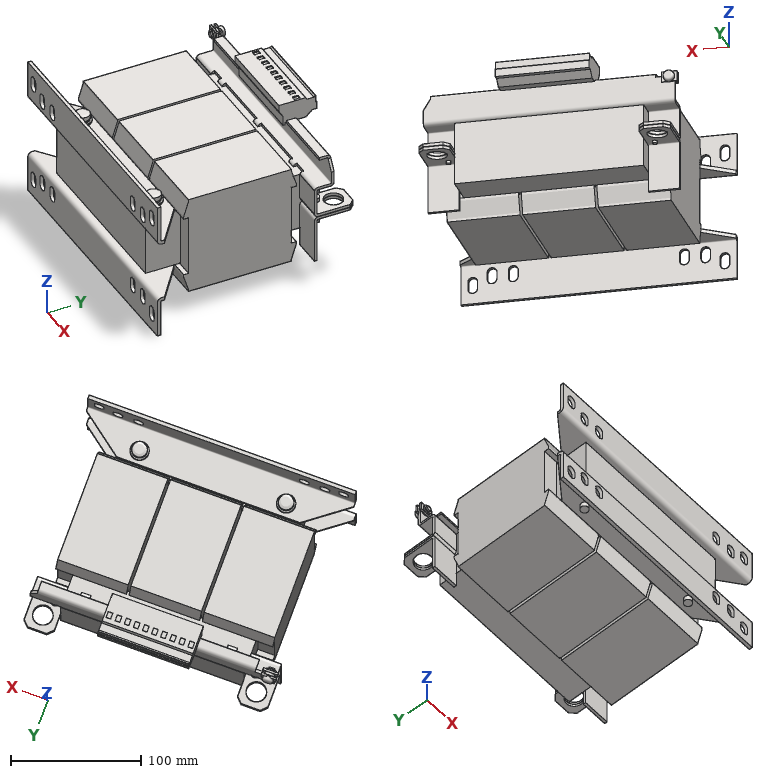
import cadquery as cq


LEG_WIDTH = 30.0
LEG_PITCH = 2 * LEG_WIDTH
LEG_CENTRES = [-LEG_PITCH, 0, LEG_PITCH]
CORE_WIDTH = 5 * LEG_WIDTH
CORE_FRONT = 7.5
CORE_DEPTH = CORE_WIDTH
CORE_BACK = CORE_FRONT + CORE_DEPTH
CORE_HEIGHT = 50.4
CORE_TOP = CORE_HEIGHT / 2

COIL_GAP = 2.2
COIL_WIDTH = LEG_PITCH - COIL_GAP
COIL_FRONT = CORE_FRONT + LEG_WIDTH
COIL_BACK = 126.4
COIL_TOP = 43.1
LIP_TOP = 41.5
LIP_REACH = 4.2
LIP_BOTTOM = 26.0
LIP_EDGE_TOP = 28.5

MOUNT_LENGTH = 219.0
MOUNT_THICKNESS = 3.0
MOUNT_HALF_HEIGHT = 60.2
MOUNT_BACK = 32.2
MOUNT_TAPER_START = 6.1
MOUNT_BEND_RADIUS = 4.0
SLOT_WIDTH = 7.7
SLOT_LENGTH = 13.1
OUTER_SLOT = (100.0, 45.0)
INNER_SLOTS = [(84.8, 38.3), (67.9, 38.3)]

BOLT_Y = 22.1
BOLT_DIAMETER = 7.0
BOLT_END = -33.0
WASHER_STACK = [(13.8, 1.0), (15.0, 1.0), (11.5, 1.5)]
BOLT_HEAD_DIAMETER = 12.3
BOLT_HEAD_HEIGHT = 4.5
BOLT_CROWN_DIAMETER = 7.9
BOLT_CROWN_HEIGHT = 0.7

SHEET = 2.5
SHEET_BEND_RADIUS = 3.3
REAR_LENGTH = 199.7
REAR_FRONT = 140.5
LOWER_END = -41.0
EYE_GAP = 0.5
EYE_BACK = 176.0
EYE_WIDTH = (REAR_LENGTH - CORE_WIDTH) / 2
EYE_CENTRE = (REAR_LENGTH + CORE_WIDTH) / 4
EYE_CHAMFER = 4.5
EYE_HOLE_DIAMETER = 15.8
EYE_HOLE_Y = 163.4
BENT_TAB_WIDTH = 7.7

TAB_SCREW_X = 82.0
TAB_SCREW_Y = 149.5
TAB_SCREW_HEAD_DIAMETER = 8.3
TAB_SCREW_HEAD_HEIGHT = 3.3
TAB_SCREW_DIAMETER = 3.7
TAB_SCREW_END = -4.5

RAIL_BACK = 157.7
RAIL_TOP = 50.5
RAIL_FLANGE_FRONT = 147.8
RAIL_FLANGE_LEFT = -84.3
RAIL_FLANGE_RIGHT = 94.2
RAIL_TAPER_END = 38.0

EARTH_X = -95.5
EARTH_Z = 46.5
EARTH_HEAD = (8.8, RAIL_BACK, 162.0)
EARTH_NUT = (7.9, 151.5, RAIL_BACK)
EARTH_SHANK = (4.8, 150.2, RAIL_BACK)
EARTH_HEAD_ROUNDING = 1.8
EARTH_WASHER_WIDTH = 12.3
EARTH_WASHER_HEIGHT = 8.3
EARTH_WASHER_THICKNESS = 1.8
EARTH_WASHER_FRONTS = [152.9, 156.8]

POLE_PITCH = 7.5
POLES_PER_BLOCK = [3, 3, 2, 2]
TERMINAL_LEFT = -36.0
TERMINAL_TOP = 66.8
TERMINAL_PROFILE = [
    (141.3, TERMINAL_TOP), (141.3, 60.5), (144.8, 55.6), (144.8, 47.0), (146.7, 47.0), (146.7, 48.6),
    (164.5, 48.6), (170.2, 53.7), (174.0, 53.7), (174.0, 60.0), (173.2, 60.0), (173.2, 66.0),
    (172.8, 66.0), (171.5, 65.0), (165.5, 65.0), (164.2, TERMINAL_TOP),
]
POCKET_WIDTH = 3.7
POCKET_FRONT = 155.7
POCKET_BACK = 160.5
POCKET_DEPTH = 1.0


def block(x_range, y_range, z_range):
    """Box between the given limits."""
    size = [high - low for low, high in (x_range, y_range, z_range)]
    return cq.Workplane("XY").box(*size, centered=False).translate((x_range[0], y_range[0], z_range[0]))


def centred(middle, width):
    """Limits of a stretch of the given width."""
    return (middle - width / 2, middle + width / 2)


def extrude_along_x(profile, x_range):
    """Solid from a closed (Y, Z) outline."""
    start, end = x_range
    return cq.Workplane("YZ").workplane(offset=start).polyline(profile).close().extrude(end - start)


def disc(x, y, z, diameter, height):
    """Upright cylinder standing at the height z."""
    return cq.Workplane("XY").circle(diameter / 2).extrude(height).translate((x, y, z))


def rod_along_y(x, z, diameter, start, end):
    """Cylinder lying along Y between the two given places."""
    return cq.Workplane("XZ", origin=(x, start, z)).circle(diameter / 2).extrude(start - end)


def bent_angle(x_range, corner, ends, thickness, radius):
    """L-shaped sheet with a rounded bend; corner and ends are (Y, Z) of its outer faces."""
    (y, z), (y_end, z_end) = corner, ends
    y_inner = y + (thickness if y_end > y else -thickness)
    z_inner = z + (thickness if z_end > z else -thickness)
    outline = [(y, z), (y_end, z), (y_end, z_inner), (y_inner, z_inner), (y_inner, z_end), (y, z_end)]
    sheet = extrude_along_x(outline, x_range)
    middle = sum(x_range) / 2
    outer_edge = cq.selectors.NearestToPointSelector((middle, y, z))
    inner_edge = cq.selectors.NearestToPointSelector((middle, y_inner, z_inner))
    return sheet.edges(outer_edge).fillet(radius).edges(inner_edge).fillet(radius - thickness)


def make_core():
    core = block(centred(0, CORE_WIDTH), (CORE_FRONT, CORE_BACK), centred(0, CORE_HEIGHT))
    for x in (-LEG_PITCH / 2, LEG_PITCH / 2):
        window = block(
            centred(x, LEG_PITCH - LEG_WIDTH),
            (CORE_FRONT + LEG_WIDTH, CORE_BACK - LEG_WIDTH),
            centred(0, CORE_HEIGHT),
        )
        core = core.cut(window)
    return core


def make_coil(x):
    upper_half = [
        (COIL_FRONT, LIP_BOTTOM), (COIL_FRONT - LIP_REACH, LIP_BOTTOM),
        (COIL_FRONT - LIP_REACH, LIP_EDGE_TOP),
        (COIL_FRONT, LIP_TOP), (COIL_FRONT, COIL_TOP), (COIL_BACK, COIL_TOP), (COIL_BACK, LIP_TOP),
        (COIL_BACK + LIP_REACH, LIP_EDGE_TOP), (COIL_BACK + LIP_REACH, LIP_BOTTOM), (COIL_BACK, LIP_BOTTOM),
    ]
    lower_half = [(y, -z) for y, z in reversed(upper_half)]
    return extrude_along_x(upper_half + lower_half, centred(x, COIL_WIDTH))


def make_mounting_angle():
    """Upper angle: slotted flange on the mounting face and a tapered plate on the core."""
    angle = bent_angle(
        centred(0, MOUNT_LENGTH),
        (0, CORE_TOP),
        (MOUNT_BACK, MOUNT_HALF_HEIGHT),
        MOUNT_THICKNESS,
        MOUNT_BEND_RADIUS,
    )
    for side in (-1, 1):
        corner_cut = (
            cq.Workplane("XY")
            .polyline([
                (side * MOUNT_LENGTH / 2, MOUNT_TAPER_START),
                (side * MOUNT_LENGTH / 2, MOUNT_BACK),
                (side * CORE_WIDTH / 2, MOUNT_BACK),
            ])
            .close()
            .extrude(MOUNT_HALF_HEIGHT)
        )
        angle = angle.cut(corner_cut)
    slot_centres = [(side * x, z) for side in (-1, 1) for x, z in [OUTER_SLOT] + INNER_SLOTS]
    slots = (
        cq.Workplane("XZ")
        .pushPoints(slot_centres)
        .slot2D(SLOT_LENGTH, SLOT_WIDTH, 90)
        .extrude(-MOUNT_THICKNESS)
    )
    return angle.cut(slots)


def make_clamping_bolt(x):
    bolt = disc(x, BOLT_Y, BOLT_END, BOLT_DIAMETER, CORE_TOP - BOLT_END)
    z = CORE_TOP + MOUNT_THICKNESS
    for diameter, height in WASHER_STACK:
        bolt = bolt.union(disc(x, BOLT_Y, z, diameter, height))
        z += height
    crown_run = (BOLT_HEAD_DIAMETER - BOLT_CROWN_DIAMETER) / 2
    head = disc(x, BOLT_Y, z, BOLT_HEAD_DIAMETER, BOLT_HEAD_HEIGHT)
    return bolt.union(head.faces(">Z").edges().chamfer(BOLT_CROWN_HEIGHT, crown_run))


def make_eye_bracket(side):
    """Pair of back-to-back angles at one end whose tabs form a lifting eye."""
    x = side * EYE_CENTRE
    x_range = centred(x, EYE_WIDTH)
    upper = bent_angle(
        x_range, (REAR_FRONT, EYE_GAP / 2), (EYE_BACK, CORE_TOP), SHEET, SHEET_BEND_RADIUS
    )
    lower = bent_angle(
        x_range, (REAR_FRONT, -EYE_GAP / 2), (EYE_BACK, LOWER_END), SHEET, SHEET_BEND_RADIUS
    )
    hole = disc(x, EYE_HOLE_Y, -CORE_TOP, EYE_HOLE_DIAMETER, CORE_HEIGHT)
    bracket = upper.union(lower).edges("|Z and >Y").chamfer(EYE_CHAMFER).cut(hole)

    tab_top = EYE_GAP / 2 + SHEET
    screw_x = side * TAB_SCREW_X
    shank = disc(screw_x, TAB_SCREW_Y, TAB_SCREW_END, TAB_SCREW_DIAMETER, tab_top - TAB_SCREW_END)
    head = disc(screw_x, TAB_SCREW_Y, tab_top, TAB_SCREW_HEAD_DIAMETER, TAB_SCREW_HEAD_HEIGHT)
    return bracket.union(shank).union(head)


def make_rail():
    """Shelf with bent tabs on the core, an upright plate behind it and a flange for the terminals."""
    shelf_top = CORE_TOP + SHEET
    shelf_front = REAR_FRONT + SHEET_BEND_RADIUS
    shelf_middle = (shelf_front + RAIL_BACK) / 2
    plate_top = RAIL_TOP - SHEET_BEND_RADIUS
    rail = bent_angle(
        centred(0, REAR_LENGTH), (RAIL_BACK, CORE_TOP), (shelf_middle, plate_top), SHEET, SHEET_BEND_RADIUS
    )
    rail = rail.union(block(centred(0, REAR_LENGTH), (shelf_front, shelf_middle), (CORE_TOP, shelf_top)))

    taper = (
        cq.Workplane("XZ", origin=(0, RAIL_BACK, 0))
        .polyline([
            (RAIL_FLANGE_RIGHT, plate_top), (REAR_LENGTH / 2, plate_top), (REAR_LENGTH / 2, RAIL_TAPER_END),
        ])
        .close()
        .extrude(SHEET)
    )
    rail = rail.cut(taper)

    flange = bent_angle(
        (RAIL_FLANGE_LEFT, RAIL_FLANGE_RIGHT),
        (RAIL_BACK, RAIL_TOP),
        (RAIL_FLANGE_FRONT, CORE_TOP + SHEET_BEND_RADIUS),
        SHEET,
        SHEET_BEND_RADIUS,
    )
    rail = rail.union(flange)

    end_tabs = [(side * EYE_CENTRE, EYE_WIDTH) for side in (-1, 1)]
    core_tabs = [(x, BENT_TAB_WIDTH) for x in LEG_CENTRES]
    for x, width in end_tabs + core_tabs:
        tab = bent_angle(
            centred(x, width),
            (REAR_FRONT, shelf_top),
            (shelf_middle, SHEET_BEND_RADIUS),
            SHEET,
            SHEET_BEND_RADIUS,
        )
        rail = rail.union(tab)
    return rail


def make_earth_screw():
    screw = rod_along_y(EARTH_X, EARTH_Z, *EARTH_HEAD).faces(">Y").edges().fillet(EARTH_HEAD_ROUNDING)
    for diameter, start, end in (EARTH_NUT, EARTH_SHANK):
        screw = screw.union(rod_along_y(EARTH_X, EARTH_Z, diameter, start, end))
    for front in EARTH_WASHER_FRONTS:
        washer = block(
            centred(EARTH_X, EARTH_WASHER_WIDTH),
            (front, front + EARTH_WASHER_THICKNESS),
            centred(EARTH_Z, EARTH_WASHER_HEIGHT),
        )
        screw = screw.union(washer)
    return screw


def make_terminal(left, poles):
    """One terminal block with a screwdriver pocket above every pole."""
    terminal = extrude_along_x(TERMINAL_PROFILE, (left, left + poles * POLE_PITCH))
    for pole in range(poles):
        pocket = block(
            centred(left + (pole + 0.5) * POLE_PITCH, POCKET_WIDTH),
            (POCKET_FRONT, POCKET_BACK),
            (TERMINAL_TOP - POCKET_DEPTH, TERMINAL_TOP),
        )
        terminal = terminal.cut(pocket)
    return terminal


mounting_angle = make_mounting_angle()
result = make_core().union(mounting_angle).union(mounting_angle.mirror("XY"))

for leg_x in LEG_CENTRES:
    result = result.union(make_coil(leg_x))

for bolt_x in (LEG_CENTRES[0], LEG_CENTRES[-1]):
    result = result.union(make_clamping_bolt(bolt_x))

result = result.union(make_rail()).union(make_earth_screw())

for end in (-1, 1):
    result = result.union(make_eye_bracket(end))

terminal_left = TERMINAL_LEFT
for pole_count in POLES_PER_BLOCK:
    result = result.union(make_terminal(terminal_left, pole_count), clean=False)
    terminal_left += pole_count * POLE_PITCH